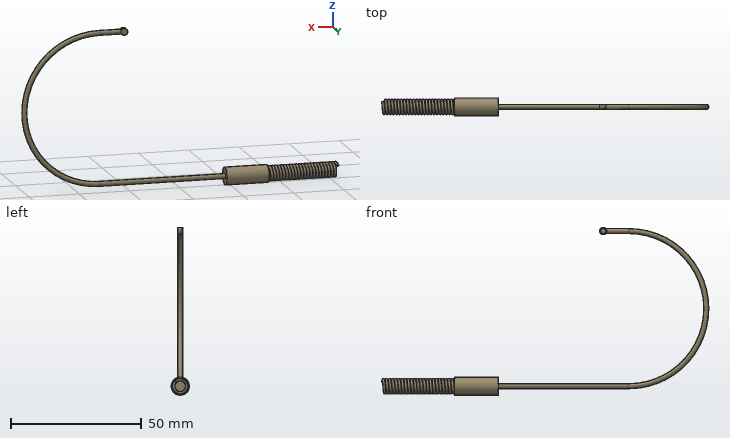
import cadquery as cq

spring_length = 28.1
spring_outer_diameter = 6.05
coil_wire_diameter = 1.0
coil_pitch = 1.2
coil_start_angle = 45.0
coil_overlap = 0.6

collar_diameter = 7.0
collar_length = 16.8
collar_end_x = spring_length + collar_length

wire_diameter = 2.0
wire_radius = wire_diameter / 2
overall_length = 125.82
overall_height = 64.52
bend_start_x = 95.0
bend_radius = overall_length - bend_start_x - wire_radius
bend_height = 2 * bend_radius
tip_length = 9.8

eye_x = bend_start_x - tip_length
eye_radius = overall_height - collar_diameter / 2 - bend_height
eye_thickness = wire_diameter
recess_radius = 1.0
recess_depth = 0.3


def collar():
    """Plain cylinder that joins the spring to the wire."""
    return (
        cq.Workplane("YZ", origin=(spring_length, 0, 0))
        .circle(collar_diameter / 2)
        .extrude(collar_length)
    )


def spring():
    """Round-wire helix whose far end is buried in the collar."""
    coil_radius = (spring_outer_diameter - coil_wire_diameter) / 2
    axial_start = coil_wire_diameter / 2
    helix_height = spring_length + coil_overlap - axial_start
    helix = cq.Wire.makeHelix(coil_pitch, helix_height, coil_radius)
    coil = (
        cq.Workplane("XZ")
        .center(coil_radius, 0)
        .circle(coil_wire_diameter / 2)
        .sweep(cq.Workplane(obj=helix), isFrenet=True)
    )
    coil = coil.rotate((0, 0, 0), (0, 0, 1), 90).rotate((0, 0, 0), (0, 1, 0), 90)
    return coil.rotate((0, 0, 0), (1, 0, 0), coil_start_angle).translate((axial_start, 0, 0))


def hook_wire():
    """Straight wire from the collar, half-circle bend and short straight return to the eye."""
    path = (
        cq.Workplane("XZ")
        .moveTo(collar_end_x, 0)
        .lineTo(bend_start_x, 0)
        .threePointArc((bend_start_x + bend_radius, bend_radius), (bend_start_x, bend_height))
        .lineTo(eye_x, bend_height)
    )
    return cq.Workplane("YZ").workplane(offset=collar_end_x).circle(wire_radius).sweep(path)


def eye():
    """Short cylinder across the wire tip."""
    return (
        cq.Workplane("XZ", origin=(eye_x, 0, bend_height))
        .circle(eye_radius)
        .extrude(eye_thickness / 2, both=True)
    )


def eye_recess():
    """Shallow round recess in the -Y face of the eye."""
    return (
        cq.Workplane("XZ", origin=(eye_x, -eye_thickness / 2, bend_height))
        .circle(recess_radius)
        .extrude(-recess_depth)
    )


result = collar().union(spring()).union(hook_wire()).union(eye()).cut(eye_recess())